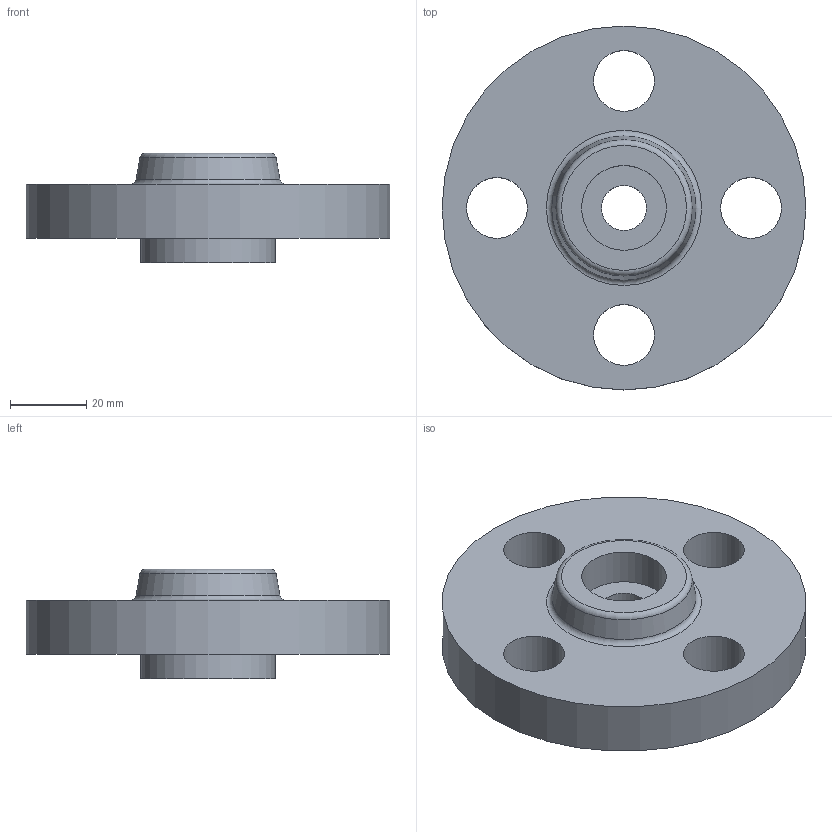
import cadquery as cq
import math

flange_diameter = 95.25
flange_thickness = 14.2

face_diameter = 35.1
face_height = 6.4

hub_height = 8.1
hub_base_diameter = 38.1
hub_taper_degrees = 10.0
hub_root_radius = 1.5
hub_rim_radius = 1.5

bore_diameter = 11.8
socket_diameter = 22.2
socket_depth = 9.5

bolt_hole_count = 4
bolt_hole_diameter = 15.9
bolt_circle_diameter = 66.5

flange_top = flange_thickness
hub_top = flange_top + hub_height


def cylinder(diameter, bottom, height):
    """Upright cylinder on the Z axis, starting at the given level."""
    return cq.Workplane("XY").workplane(offset=bottom).circle(diameter / 2).extrude(height)


def make_hub():
    """Cone that narrows upwards, with a rounded rim."""
    cone = (
        cq.Workplane("XY")
        .workplane(offset=flange_top)
        .circle(hub_base_diameter / 2)
        .extrude(hub_height, taper=hub_taper_degrees)
    )
    return cone.faces(">Z").edges().fillet(hub_rim_radius)


def make_body():
    """Plate, facing and hub, blended where the hub meets the plate."""
    plate = cylinder(flange_diameter, 0, flange_thickness)
    facing = cylinder(face_diameter, -face_height, face_height)
    body = plate.union(make_hub()).union(facing)
    plate_top_face = cq.selectors.NearestToPointSelector((0, 0, flange_top))
    root_edge = cq.selectors.RadiusNthSelector(0)
    return body.faces(plate_top_face).edges(root_edge).fillet(hub_root_radius)


def cut_bore(body):
    """Through bore, widened to a flat-bottomed socket at the hub end."""
    bore = cylinder(bore_diameter, -face_height, face_height + hub_top)
    socket = cylinder(socket_diameter, hub_top - socket_depth, socket_depth)
    return body.cut(bore).cut(socket)


def cut_bolt_holes(body):
    """Evenly spaced holes through the plate, the first one on the X axis."""
    hole = cylinder(bolt_hole_diameter, 0, flange_thickness)
    for index in range(bolt_hole_count):
        angle = 2 * math.pi * index / bolt_hole_count
        x = bolt_circle_diameter / 2 * math.cos(angle)
        y = bolt_circle_diameter / 2 * math.sin(angle)
        body = body.cut(hole.translate((x, y, 0)))
    return body


result = cut_bolt_holes(cut_bore(make_body()))